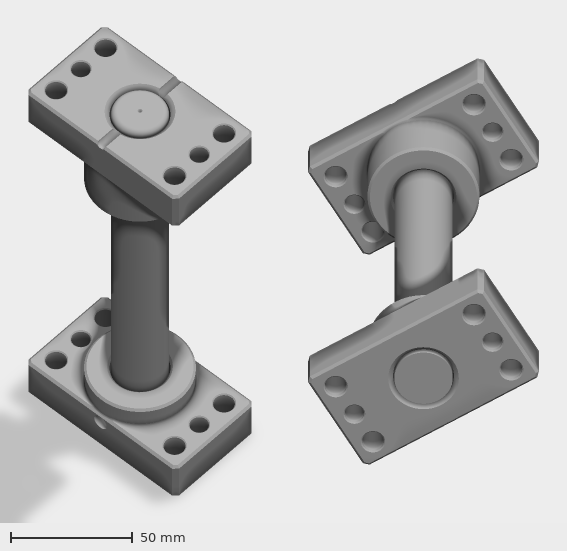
import cadquery as cq
total_height = 200.0

plate_length = 84.0
plate_width = 48.0
plate_thickness = 20.0
corner_chamfer = 2.0
edge_chamfer = 1.1

collar_diameter = 46.0
upper_collar_height = 25.0
lower_collar_height = 10.0
collar_chamfer = 1.0
collar_fillet = 1.0

rod_diameter = 24.0
rod_end_fillet = 2.5
rod_protrusion = 0.5
center_mark_diameter = 2.0

bore_diameter = 25.0
seat_chamfer = 2.0
bore_chamfer = 1.0

hole_row_x = 33.0
bolt_hole_y = 15.0
bolt_hole_diameter = 9.0
dowel_hole_diameter = 8.0
hole_chamfer = 0.5

groove_radius = 2.2
groove_depth = 2.0

cross_hole_diameter = 7.0
cross_hole_below_collar_face = 4.5

upper_outer_z = total_height - rod_protrusion


def chamfered_cutter(diameter, height, bottom_chamfer, top_chamfer):
    """Cutting shape for a through hole from Z = 0 to height, chamfered at both mouths."""
    radius = diameter / 2
    half_profile = [
        (0, 0),
        (radius + bottom_chamfer, 0),
        (radius, bottom_chamfer),
        (radius, height - top_chamfer),
        (radius + top_chamfer, height),
        (0, height),
    ]
    return cq.Workplane("XZ").polyline(half_profile).close().revolve(360, (0, 0, 0), (0, 1, 0))


def make_flange(collar_height):
    """Flange with its outer face on Z = 0, the collar pointing to +Z, and the rod bore."""
    plate = (
        cq.Workplane("XY")
        .box(plate_length, plate_width, plate_thickness, centered=(True, True, False))
        .edges("|Z")
        .chamfer(corner_chamfer)
        .faces("<Z or >Z")
        .edges()
        .chamfer(edge_chamfer)
    )
    flange_height = plate_thickness + collar_height
    collar = (
        cq.Workplane("XY")
        .circle(collar_diameter / 2)
        .extrude(flange_height)
        .faces(">Z")
        .edges()
        .chamfer(collar_chamfer)
    )
    flange = plate.union(collar)

    root_reach = (collar_diameter + plate_width) / 4
    root_zone = cq.selectors.BoxSelector(
        (-root_reach, -root_reach, plate_thickness - edge_chamfer),
        (root_reach, root_reach, plate_thickness + collar_fillet),
        boundingbox=True,
    )
    flange = flange.edges(root_zone).fillet(collar_fillet)

    bore = chamfered_cutter(bore_diameter, flange_height, seat_chamfer, bore_chamfer)
    flange = flange.cut(bore)

    bolt_hole = chamfered_cutter(bolt_hole_diameter, plate_thickness, hole_chamfer, hole_chamfer)
    dowel_hole = chamfered_cutter(dowel_hole_diameter, plate_thickness, hole_chamfer, hole_chamfer)
    for x in (-hole_row_x, hole_row_x):
        for y in (-bolt_hole_y, bolt_hole_y):
            flange = flange.cut(bolt_hole.translate((x, y, 0)))
        flange = flange.cut(dowel_hole.translate((x, 0, 0)))
    return flange


def make_upper_flange():
    """Upper flange, collar pointing down, with a round groove along Y in its top face."""
    flange = (
        make_flange(upper_collar_height)
        .rotate((0, 0, 0), (1, 0, 0), 180)
        .translate((0, 0, upper_outer_z))
    )
    groove = (
        cq.Workplane("XZ")
        .center(0, upper_outer_z - groove_depth + groove_radius)
        .circle(groove_radius)
        .extrude(plate_width / 2, both=True)
    )
    return flange.cut(groove)


def make_lower_flange():
    """Lower flange, collar pointing up, with a cross hole from the -Y side to the bore."""
    cross_hole = (
        cq.Workplane("XZ")
        .center(0, plate_thickness - cross_hole_below_collar_face)
        .circle(cross_hole_diameter / 2)
        .extrude(plate_width / 2)
    )
    return make_flange(lower_collar_height).cut(cross_hole)


def make_rod():
    """Rod through both flanges, with a rounded upper end and a 90-degree conical center mark."""
    rod = (
        cq.Workplane("XY")
        .circle(rod_diameter / 2)
        .extrude(total_height)
        .faces(">Z")
        .edges()
        .fillet(rod_end_fillet)
    )
    mark_radius = center_mark_diameter / 2
    center_mark = cq.Workplane(
        cq.Solid.makeCone(0, mark_radius, mark_radius, cq.Vector(0, 0, total_height - mark_radius))
    )
    return rod.cut(center_mark)


upper_flange = make_upper_flange()
lower_flange = make_lower_flange()
rod = make_rod()

result = cq.Compound.makeCompound([upper_flange.val(), lower_flange.val(), rod.val()])